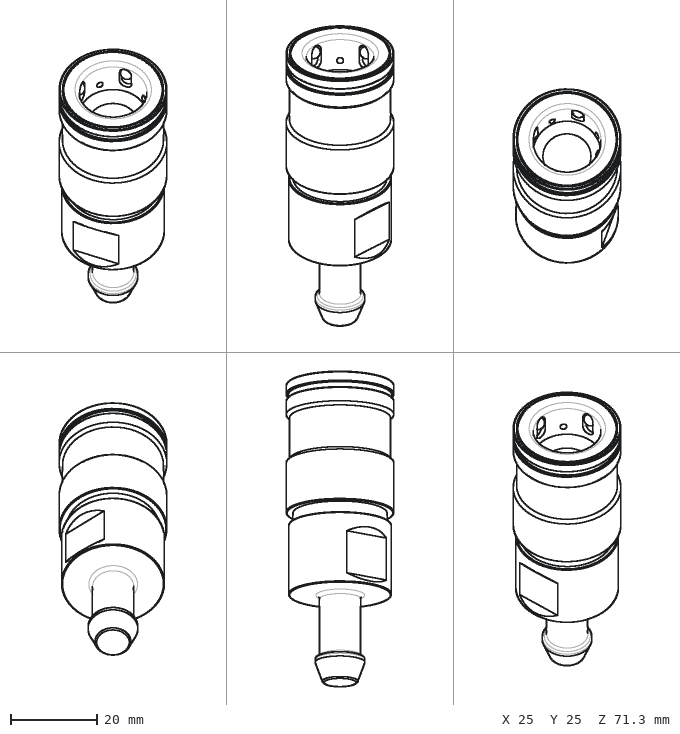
import cadquery as cq
import math

ARC_MID = math.sqrt(0.5)

HEIGHT = 71.35
SLEEVE_R = 12.5
EDGE = 0.2

RING_BOTTOM = 68.9
RETAINER_R = 12.0
COLLAR_TOP = 67.65
COLLAR_BOTTOM = 64.2
WAIST_R = 11.7
GRIP_TOP = 52.65
GRIP_BOTTOM = 40.6
WAIST_FLARE = SLEEVE_R - WAIST_R

NECK_R = 10.9
BODY_R = 11.9
BODY_TOP = 37.8
BODY_BOTTOM = 21.0
FLAT_DISTANCE = 10.5
FLAT_BOTTOM = 23.2
FLAT_TOP = 33.25

STEM_R = 4.8
STEM_FILLET = 0.85
BARB_R = 5.8
BARB_TOP = 6.0
BARB_RIM_ROUND = 0.4
BARB_LAND_BOTTOM = 4.85
TIP_R = 4.15
TIP_CHAMFER = 0.35

BORE_R = 7.85
BORE_DEPTH = 9.1
MOUTH_FILLET = 1.0
SEAT_R = 5.6
SEAT_DEPTH = BORE_DEPTH + BORE_R - SEAT_R

JOINT_OUTER_R = 11.7
JOINT_INNER_R = 11.4
JOINT_DEPTH = 0.35

SLOT_WIDTH = 3.0
SLOT_HEIGHT = 6.0
SLOT_CENTRE_Z = HEIGHT - 4.4
SLOT_FLOOR_R = 8.85
BALL_R = SLOT_WIDTH / 2
BALL_PITCH_R = 8.6
BALL_Z = HEIGHT - 3.4
DETENT_R = 0.85
DETENT_PITCH_R = 8.2
DETENT_Z = HEIGHT - 6.7
POSITIONS = 4


def chamfered_band(radius, bottom, top):
    """Profile points of a cylindrical band with a small chamfer on both edges, going up."""
    return [
        (radius - EDGE, bottom),
        (radius, bottom + EDGE),
        (radius, top - EDGE),
        (radius - EDGE, top),
    ]


def turned_body():
    """Solid of revolution with the complete outer contour."""
    root_z = BODY_BOTTOM - STEM_FILLET
    root_mid = (STEM_R + STEM_FILLET * (1 - ARC_MID), root_z + STEM_FILLET * ARC_MID)
    fillet = BARB_R - BARB_RIM_ROUND - STEM_R
    rim_mid = (
        BARB_R - BARB_RIM_ROUND * (1 - ARC_MID),
        BARB_TOP - BARB_RIM_ROUND * (1 - ARC_MID),
    )
    fillet_mid = (STEM_R + fillet * (1 - ARC_MID), BARB_TOP + fillet * (1 - ARC_MID))

    profile = (
        cq.Workplane("XZ")
        .moveTo(0, 0)
        .lineTo(TIP_R - TIP_CHAMFER, 0)
        .lineTo(TIP_R, TIP_CHAMFER)
        .lineTo(BARB_R, BARB_LAND_BOTTOM)
        .lineTo(BARB_R, BARB_TOP - BARB_RIM_ROUND)
        .threePointArc(rim_mid, (BARB_R - BARB_RIM_ROUND, BARB_TOP))
        .threePointArc(fillet_mid, (STEM_R, BARB_TOP + fillet))
        .lineTo(STEM_R, root_z)
        .threePointArc(root_mid, (STEM_R + STEM_FILLET, BODY_BOTTOM))
    )
    upper_contour = [
        *chamfered_band(BODY_R, BODY_BOTTOM, BODY_TOP),
        (NECK_R, BODY_TOP),
        (NECK_R, GRIP_BOTTOM),
        (SLEEVE_R - EDGE, GRIP_BOTTOM),
        (SLEEVE_R, GRIP_BOTTOM + EDGE),
        (SLEEVE_R, GRIP_TOP),
        (WAIST_R, GRIP_TOP + WAIST_FLARE),
        (WAIST_R, COLLAR_BOTTOM - WAIST_FLARE),
        (SLEEVE_R, COLLAR_BOTTOM),
        (SLEEVE_R, COLLAR_TOP - EDGE),
        (SLEEVE_R - EDGE, COLLAR_TOP),
        (RETAINER_R, COLLAR_TOP),
        (RETAINER_R, RING_BOTTOM),
        *chamfered_band(SLEEVE_R, RING_BOTTOM, HEIGHT),
        (0, HEIGHT),
    ]
    for point in upper_contour:
        profile = profile.lineTo(*point)
    return profile.close().revolve(360, (0, 0), (0, 1))


def wrench_flat_cutter():
    """Trapezoidal bar on the -Y side: a flat floor with 45 degree ends."""
    depth = SLEEVE_R - FLAT_DISTANCE
    return (
        cq.Workplane("YZ")
        .polyline([
            (-FLAT_DISTANCE, FLAT_BOTTOM),
            (-FLAT_DISTANCE, FLAT_TOP),
            (-SLEEVE_R, FLAT_TOP + depth),
            (-SLEEVE_R, FLAT_BOTTOM - depth),
        ])
        .close()
        .extrude(SLEEVE_R, both=True)
    )


def socket_cutter():
    """Bore with a rounded mouth and a conical seat ending in a flat floor."""
    mouth_mid = (BORE_R + MOUTH_FILLET * (1 - ARC_MID), HEIGHT - MOUTH_FILLET * (1 - ARC_MID))
    return (
        cq.Workplane("XZ")
        .moveTo(0, HEIGHT - SEAT_DEPTH)
        .lineTo(SEAT_R, HEIGHT - SEAT_DEPTH)
        .lineTo(BORE_R, HEIGHT - BORE_DEPTH)
        .lineTo(BORE_R, HEIGHT - MOUTH_FILLET)
        .threePointArc(mouth_mid, (BORE_R + MOUTH_FILLET, HEIGHT))
        .lineTo(0, HEIGHT)
        .close()
        .revolve(360, (0, 0), (0, 1))
    )


def joint_groove_cutter():
    return (
        cq.Workplane("XY")
        .workplane(offset=HEIGHT - JOINT_DEPTH)
        .circle(JOINT_OUTER_R)
        .circle(JOINT_INNER_R)
        .extrude(JOINT_DEPTH)
    )


def ball_slot_cutter():
    """Upright round-ended slot in the bore wall on the +X side."""
    start = BORE_R - BALL_R
    return (
        cq.Workplane("YZ")
        .workplane(offset=start)
        .center(0, SLOT_CENTRE_Z)
        .slot2D(SLOT_HEIGHT, SLOT_WIDTH, 90)
        .extrude(SLOT_FLOOR_R - start)
    )


def around_axis(shape, index, phase=0.0):
    """Turn a shape to one of the equally spaced positions around Z."""
    return shape.rotate((0, 0, 0), (0, 0, 1), phase + index * 360 / POSITIONS)


result = turned_body()

flat = wrench_flat_cutter()
result = result.cut(flat).cut(flat.mirror("XZ"))
result = result.cut(socket_cutter()).cut(joint_groove_cutter())

slot = ball_slot_cutter()
ball = cq.Workplane("XY").sphere(BALL_R).translate((BALL_PITCH_R, 0, BALL_Z))
detent = cq.Workplane("XY").sphere(DETENT_R).translate((DETENT_PITCH_R, 0, DETENT_Z))
for position in range(POSITIONS):
    result = result.cut(around_axis(slot, position))
    result = result.union(around_axis(ball, position))
    result = result.union(around_axis(detent, position, phase=180 / POSITIONS))